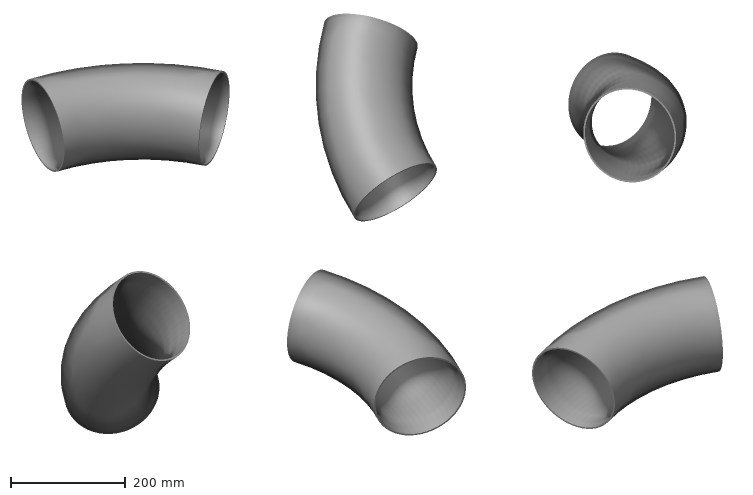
import cadquery as cq
import math

overall_length = 335.3
outer_diameter = 168.3
wall_thickness = 3.0
bend_angle = 45.0

outer_radius = outer_diameter / 2
inner_radius = outer_radius - wall_thickness

bend_radius = overall_length / math.sin(math.radians(bend_angle)) - outer_radius


def pipe_bend():
    """Revolve the ring-shaped pipe section about a vertical axis on the +X side.

    The inlet face lies on the XZ plane, centred on the origin, and the pipe
    runs toward +Y while curving to +X.
    """
    section = cq.Workplane("XZ").circle(outer_radius).circle(inner_radius)
    axis_start = (bend_radius, 0)
    axis_end = (bend_radius, -1)
    return section.revolve(bend_angle, axis_start, axis_end)


result = pipe_bend()